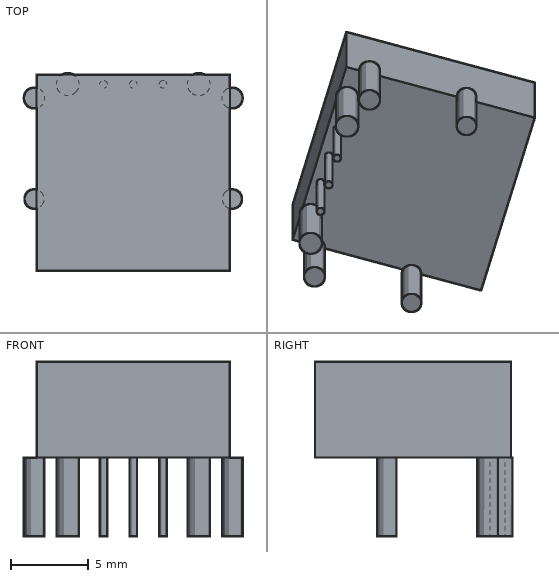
import cadquery as cq

HOUSING_WIDTH = 12.51
HOUSING_DEPTH = 12.7
HOUSING_HEIGHT = 6.2

PIN_LENGTH = 5.09
OVERALL_WIDTH = 14.17
BACK_OVERHANG = 0.1

SIDE_PIN_REAR_DIAMETER = 1.36
SIDE_PIN_FRONT_DIAMETER = 1.28
BACK_PIN_DIAMETER = 1.46
SIGNAL_PIN_DIAMETER = 0.5

SIDE_PIN_X = (OVERALL_WIDTH - SIDE_PIN_REAR_DIAMETER) / 2
SIDE_PIN_REAR_Y = 4.83
SIDE_PIN_FRONT_Y = -1.7
BACK_PIN_X = 4.24
BACK_PIN_Y = HOUSING_DEPTH / 2 + BACK_OVERHANG - BACK_PIN_DIAMETER / 2
SIGNAL_PIN_PITCH = 1.93
SIGNAL_PIN_Y = BACK_PIN_Y


def make_housing():
    return cq.Workplane("XY").box(
        HOUSING_WIDTH, HOUSING_DEPTH, HOUSING_HEIGHT, centered=(True, True, False)
    )


def make_pin(x, y, diameter):
    """One round pin whose top face touches the housing's underside."""
    return cq.Workplane("XY").center(x, y).circle(diameter / 2).extrude(-PIN_LENGTH)


housing = make_housing()

side_pins = []
for side in (-1, 1):
    side_pins.append(make_pin(side * SIDE_PIN_X, SIDE_PIN_REAR_Y, SIDE_PIN_REAR_DIAMETER))
    side_pins.append(make_pin(side * SIDE_PIN_X, SIDE_PIN_FRONT_Y, SIDE_PIN_FRONT_DIAMETER))

back_pins = [make_pin(side * BACK_PIN_X, BACK_PIN_Y, BACK_PIN_DIAMETER) for side in (-1, 1)]

signal_pins = [
    make_pin(step * SIGNAL_PIN_PITCH, SIGNAL_PIN_Y, SIGNAL_PIN_DIAMETER) for step in (-1, 0, 1)
]

pins = side_pins + back_pins + signal_pins
result = cq.Compound.makeCompound([housing.val(), *[pin.val() for pin in pins]])